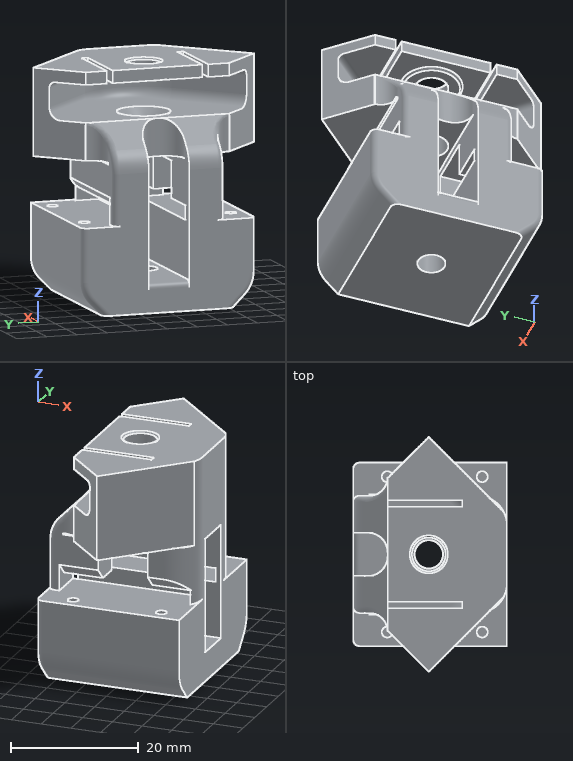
import cadquery as cq
import math

LENGTH = 24.1
WIDTH = 36.75
HEIGHT = 38.0

FOOT_WIDTH = 28.75
FOOT_TOP = 14.17
FOOT_BOTTOM_WIDTH = 21.9
FOOT_SIDE_RADIUS = 5.0
FOOT_EDGE_RADIUS = 1.05

TOWER_WIDTH = 18.35
TOWER_EDGE_RADIUS = 1.0
REAR_CORNER_RADIUS = 4.65
SHOULDER_RADIUS = 5.0
FLARE_RADIUS = 2.85

AXIS_X = 11.85
POINT_Y = WIDTH / 2
HEAD_FRONT = 5.4
HEAD_BOTTOM = 23.9
UNDERSIDE_CHAMFER = 0.25

POCKET_FLOOR = 29.95
POCKET_TOP = 36.0
POCKET_RADIUS = 10.2
POCKET_FLOOR_FILLET = 1.98
POCKET_TOP_FILLET = 1.0
SLIT_WIDTH = 1.0
SLIT_END = 17.05
SLIT_Y = 7.95

BOSS_DIAMETER = 9.8
BOSS_HEIGHT = 0.4

SLOT_WIDTH = 6.73
SLOT_FLOOR = 4.9
SLOT_END_RADIUS = 3.0
SLOT_LIP_RADIUS = 1.03

WINDOW_START = 1.85
WINDOW_END = 23.18
WINDOW_TOP = 16.5
WINDOW_FLARE = 2.0
NOTCH_START = 8.4
NOTCH_END = 16.72
NOTCH_TOP = 22.5

HEAD_HOLE = 5.3
HEAD_HOLE_CHAMFER = 0.35
COUNTERSINK_DEPTH = 1.6
FOOT_HOLE = 4.4
PIN_HOLE = 1.7
PIN_HOLE_DEPTH = 5.7
PIN_HOLE_X = (5.35, 20.2)
PIN_HOLE_Y = 12.15

MARGIN = 3.8


def box(x0, x1, y0, y1, z0, z1):
    """Box between opposite corners."""
    return cq.Workplane("XY").box(x1 - x0, y1 - y0, z1 - z0, centered=False).translate((x0, y0, z0))


def cylinder(x, y, diameter, z0, z1):
    """Vertical cylinder."""
    return cq.Workplane("XY", origin=(x, y, z0)).circle(diameter / 2).extrude(z1 - z0)


def make_foot():
    """Foot with bevelled lower sides and a rounded front edge."""
    half = FOOT_WIDTH / 2
    half_bottom = FOOT_BOTTOM_WIDTH / 2
    bend_z = half - half_bottom
    outline = [(-half, FOOT_TOP), (-half, bend_z), (-half_bottom, 0)]
    outline += [(-y, z) for y, z in reversed(outline)]
    foot = cq.Workplane("YZ").polyline(outline).close().extrude(LENGTH)
    for side in (-1, 1):
        bend = cq.selectors.NearestToPointSelector((LENGTH / 2, side * half, bend_z))
        foot = foot.edges(bend).fillet(FOOT_SIDE_RADIUS)
    return foot.faces("<X").edges("not |Y").fillet(FOOT_EDGE_RADIUS)


def make_tower():
    """Tower with a sloping front that flares out to meet the head."""
    half = TOWER_WIDTH / 2
    body = box(0, LENGTH, -half, half, FOOT_TOP, POCKET_FLOOR)
    slope_bottom = POCKET_FLOOR - HEAD_FRONT
    flare_x = HEAD_FRONT - FLARE_RADIUS
    flare_y = half + FLARE_RADIUS
    flare = box(flare_x, HEAD_FRONT, -flare_y, flare_y, HEAD_BOTTOM, POCKET_FLOOR)
    for side in (-1, 1):
        flare = flare.cut(cylinder(flare_x, side * flare_y, 2 * FLARE_RADIUS, HEAD_BOTTOM, POCKET_FLOOR))
    profile = [(0, 0), (0, slope_bottom), (HEAD_FRONT, POCKET_FLOOR), (LENGTH, POCKET_FLOOR), (LENGTH, 0)]
    limit = cq.Workplane("XZ").polyline(profile).close().extrude(FOOT_WIDTH, both=True)
    shoulder = cq.selectors.NearestToPointSelector((0, 0, slope_bottom))
    limit = limit.edges(shoulder).fillet(SHOULDER_RADIUS)
    tower = body.union(flare).intersect(limit)
    tower = tower.edges("|Z and <X").fillet(TOWER_EDGE_RADIUS)
    tower = tower.cut(box(HEAD_FRONT, LENGTH, -half, half, HEAD_BOTTOM, POCKET_FLOOR))
    return tower.edges("|Z and >X").fillet(REAR_CORNER_RADIUS)


def make_underside_chamfer():
    """Narrow sloping strips between the straight tower sides and the underside of the head."""
    half = TOWER_WIDTH / 2
    outer = half + UNDERSIDE_CHAMFER
    low = HEAD_BOTTOM - UNDERSIDE_CHAMFER
    start = HEAD_FRONT - FLARE_RADIUS
    outline = [(-half, low), (half, low), (outer, HEAD_BOTTOM), (-outer, HEAD_BOTTOM)]
    strips = cq.Workplane("YZ", origin=(start, 0, 0)).polyline(outline).close()
    return strips.extrude(LENGTH - REAR_CORNER_RADIUS - start)


def make_head():
    """Head pointed at both ends, flat in front, its rear corners following those of the tower."""
    front_y = POINT_Y - (AXIS_X - HEAD_FRONT)
    corner_x = LENGTH - REAR_CORNER_RADIUS
    corner_y = TOWER_WIDTH / 2 - REAR_CORNER_RADIUS
    distance = (AXIS_X + POINT_Y - corner_x - corner_y) * math.sqrt(0.5)
    angle = math.pi / 4 - math.acos(distance / REAR_CORNER_RADIUS)

    def on_corner(turn, side):
        """Point on the rear corner arc of one side, at an angle from X."""
        x = corner_x + REAR_CORNER_RADIUS * math.cos(turn)
        return x, side * (corner_y + REAR_CORNER_RADIUS * math.sin(turn))

    head = (
        cq.Workplane("XY", origin=(0, 0, HEAD_BOTTOM))
        .moveTo(HEAD_FRONT, -front_y)
        .lineTo(AXIS_X, -POINT_Y)
        .lineTo(*on_corner(angle, -1))
        .threePointArc(on_corner(angle / 2, -1), on_corner(0, -1))
        .lineTo(*on_corner(0, 1))
        .threePointArc(on_corner(angle / 2, 1), on_corner(angle, 1))
        .lineTo(AXIS_X, POINT_Y)
        .lineTo(HEAD_FRONT, front_y)
        .close()
    )
    return head.extrude(HEIGHT - HEAD_BOTTOM)


def make_pocket():
    """Round-backed pocket that opens towards the front of the head."""
    side = POCKET_RADIUS * math.sqrt(0.5)
    reach = POINT_Y
    pocket = (
        cq.Workplane("XY", origin=(AXIS_X, 0, POCKET_FLOOR))
        .moveTo(side, -side)
        .threePointArc((POCKET_RADIUS, 0), (side, side))
        .lineTo(side - reach, side + reach)
        .lineTo(side - reach, -side - reach)
        .close()
        .extrude(POCKET_TOP - POCKET_FLOOR)
    )
    pocket = pocket.faces("<Z").edges("not(<X)").fillet(POCKET_FLOOR_FILLET)
    return pocket.faces(">Z").edges("not(<X)").fillet(POCKET_TOP_FILLET)


def make_boss():
    """Tapered boss on the pocket ceiling."""
    boss = cylinder(AXIS_X, 0, BOSS_DIAMETER, POCKET_TOP - BOSS_HEIGHT, HEIGHT)
    return boss.faces("<Z").chamfer(BOSS_HEIGHT)


def make_slot():
    """Slot between the legs: full length below the head, blind under its front face."""
    half = SLOT_WIDTH / 2
    through = box(-MARGIN, LENGTH + MARGIN, -half, half, SLOT_FLOOR, HEAD_BOTTOM)
    upper = box(-MARGIN, HEAD_FRONT, -half, half, HEAD_BOTTOM, POCKET_FLOOR)
    return through.union(upper.edges("|Z and >X").fillet(SLOT_END_RADIUS))


def make_window():
    """Window across both legs, flared upwards at its two outer ends."""
    half = TOWER_WIDTH / 2
    flare_start = half - WINDOW_FLARE
    flare_top = WINDOW_TOP + WINDOW_FLARE
    outline = [
        (-half, FOOT_TOP),
        (half, FOOT_TOP),
        (half, flare_top),
        (flare_start, WINDOW_TOP),
        (-flare_start, WINDOW_TOP),
        (-half, flare_top),
    ]
    window = cq.Workplane("YZ", origin=(WINDOW_START, 0, 0)).polyline(outline).close()
    return window.extrude(WINDOW_END - WINDOW_START)


def make_notch():
    """Taller notch through the -Y leg only."""
    return box(NOTCH_START, NOTCH_END, -TOWER_WIDTH / 2, 0, FOOT_TOP, NOTCH_TOP)


def make_slits():
    """Two straight slits through the plate above the pocket."""
    centres = [(HEAD_FRONT, side * SLIT_Y) for side in (-1, 1)]
    slits = cq.Workplane("XY", origin=(0, 0, HEIGHT)).pushPoints(centres)
    slits = slits.rect(2 * (SLIT_END - HEAD_FRONT), SLIT_WIDTH)
    return slits.extrude(POCKET_TOP - POCKET_TOP_FILLET - HEIGHT)


def make_screw_hole():
    """Vertical screw hole, chamfered at the top, countersunk in the pocket, smaller in the foot."""
    radius = HEAD_HOLE / 2
    points = [
        (0, 0),
        (FOOT_HOLE / 2, 0),
        (FOOT_HOLE / 2, SLOT_FLOOR),
        (radius, SLOT_FLOOR),
        (radius, POCKET_FLOOR - COUNTERSINK_DEPTH),
        (radius + COUNTERSINK_DEPTH, POCKET_FLOOR),
        (radius, POCKET_FLOOR),
        (radius, HEIGHT - HEAD_HOLE_CHAMFER),
        (radius + HEAD_HOLE_CHAMFER, HEIGHT),
        (0, HEIGHT),
    ]
    hole = cq.Workplane("XZ").polyline(points).close().revolve(360, (0, 0, 0), (0, 1, 0))
    return hole.translate((AXIS_X, 0, 0))


def make_pin_holes():
    """Blind holes in the top of the foot, near its corners."""
    centres = [(x, side * PIN_HOLE_Y) for x in PIN_HOLE_X for side in (-1, 1)]
    holes = cq.Workplane("XY", origin=(0, 0, FOOT_TOP)).pushPoints(centres)
    return holes.circle(PIN_HOLE / 2).extrude(-PIN_HOLE_DEPTH)


legs_and_foot = make_tower().union(make_underside_chamfer()).union(make_foot()).cut(make_slot())
slot_lip = cq.selectors.NearestToPointSelector((0, 0, SLOT_FLOOR))
legs_and_foot = legs_and_foot.edges(slot_lip).fillet(SLOT_LIP_RADIUS)
head = make_head().cut(make_pocket()).union(make_boss()).cut(make_slits())
result = legs_and_foot.union(head)
for cutter in (make_window(), make_notch(), make_screw_hole(), make_pin_holes()):
    result = result.cut(cutter)
result = result.solids()